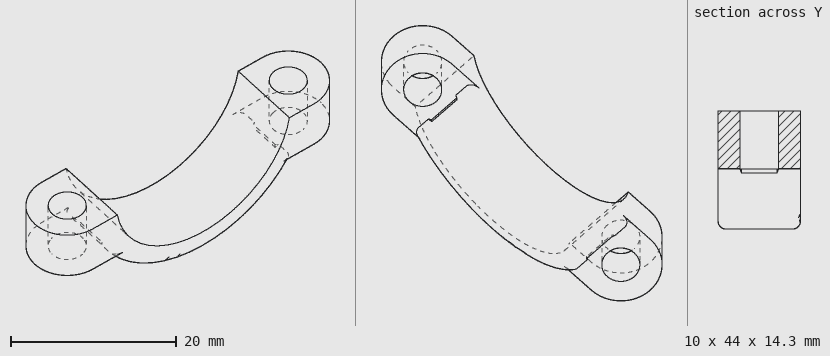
import cadquery as cq
import math

width = 10.0
bolt_spacing = 34.0
ear_thickness = 7.0
hole_diameter = 4.6
bore_radius = 13.4
band_thickness = 3.0
total_height = 14.3
band_edge_radius = 1.0
nut_across_flats = 7.4

band_radius = bore_radius + band_thickness
axis_height = band_radius - total_height
nut_across_corners = nut_across_flats / math.cos(math.radians(30))
depth_below_ears = total_height - ear_thickness
bolt_points = [(0, -bolt_spacing / 2), (0, bolt_spacing / 2)]


def cylinder_along_x(radius):
    """Cylinder on the saddle axis, spanning the width of the part."""
    return (
        cq.Workplane("YZ", origin=(-width / 2, 0, axis_height))
        .circle(radius)
        .extrude(width)
    )


def make_ears():
    """Flat bar with round ends that carries both bolt holes."""
    return (
        cq.Workplane("XY")
        .slot2D(bolt_spacing + width, width, angle=90)
        .extrude(-ear_thickness)
    )


def make_band():
    """Lower part of the round band, with its outer edges rounded."""
    rounded_disc = cylinder_along_x(band_radius).edges("%CIRCLE").fillet(band_edge_radius)
    below_ears = (
        cq.Workplane("XY", origin=(0, 0, -ear_thickness))
        .rect(width, 2 * band_radius)
        .extrude(-depth_below_ears)
    )
    return rounded_disc.intersect(below_ears)


def make_bolt_holes():
    """Through holes in the ears."""
    return (
        cq.Workplane("XY")
        .pushPoints(bolt_points)
        .circle(hole_diameter / 2)
        .extrude(-ear_thickness)
    )


def make_nut_clearances():
    """Hexagons under the ears, with flats facing the band, that trim it beside each nut."""
    return (
        cq.Workplane("XY", origin=(0, 0, -ear_thickness))
        .pushPoints(bolt_points)
        .polygon(6, nut_across_corners)
        .extrude(-depth_below_ears)
    )


result = (
    make_ears()
    .union(make_band())
    .cut(cylinder_along_x(bore_radius))
    .cut(make_bolt_holes())
    .cut(make_nut_clearances())
)